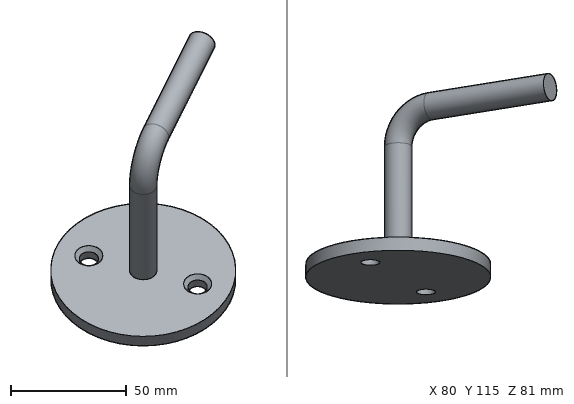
import cadquery as cq

plate_diameter = 80.0
plate_thickness = 6.0

overall_length = 115.0
overall_height = 81.0
rod_diameter = 12.0
bend_radius = 16.0
rod_end_y = overall_length - plate_diameter / 2
rod_axis_height = overall_height - rod_diameter / 2

hole_diameter = 8.3
countersink_diameter = 12.1
countersink_angle = 90
hole_spacing = 50.0


def make_plate():
    """Disc standing on Z = 0 with two holes countersunk from the top."""
    disc = cq.Workplane("XY").circle(plate_diameter / 2).extrude(plate_thickness)
    return (
        disc.faces(">Z")
        .workplane()
        .pushPoints([(-hole_spacing / 2, 0), (hole_spacing / 2, 0)])
        .cskHole(hole_diameter, countersink_diameter, countersink_angle)
    )


def make_rod():
    """Round bar swept up from the plate top, through a right-angle bend, to its free end."""
    path = (
        cq.Workplane("YZ")
        .moveTo(0, plate_thickness)
        .lineTo(0, rod_axis_height - bend_radius)
        .radiusArc((bend_radius, rod_axis_height), bend_radius)
        .lineTo(rod_end_y, rod_axis_height)
    )
    section = cq.Workplane("XY", origin=(0, 0, plate_thickness)).circle(rod_diameter / 2)
    return section.sweep(path)


result = make_plate().union(make_rod())